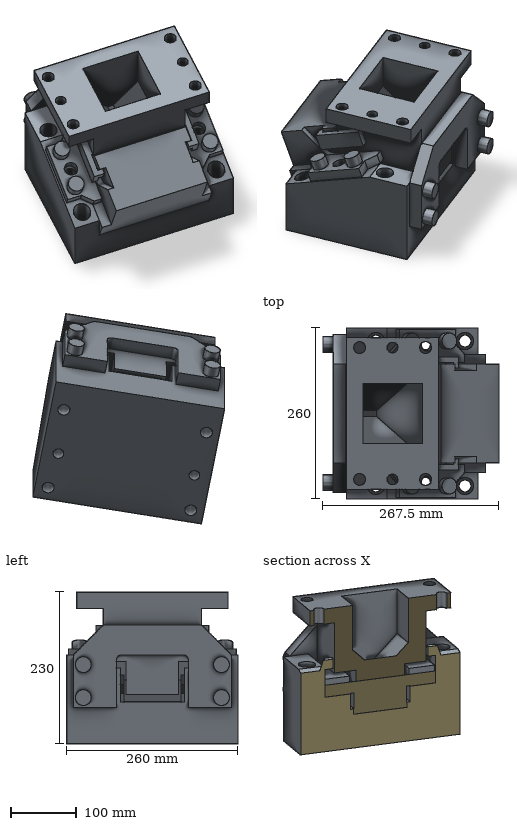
import cadquery as cq
import math


overall_length = 267.5
overall_height = 230.0

base_length = 200.0
base_width = 260.0
deck_height = 135.0
guide_start_x = 61.5
guide_angle = 20.0
well_floor_z = 115.3
tunnel_half_width = 48.5
tunnel_floor_z = 63.5
tunnel_end = 60.0
side_hole_y = 110.0
mount_hole_xs = (45.0, 180.0)
mount_hole_dia = 18.0
counterbore_dia = 26.0
counterbore_seat_z = 40.0
dowel_hole_x = 120.0
dowel_hole_y = 105.0
dowel_hole_dia = 16.0
gib_hole_dia = 20.0

head_dia = 24.0
head_height = 15.8

plate_thickness = 20.0
plate_width = 240.0
plate_bottom_z = 55.0
plate_top_z = 180.0
plate_relief = 1.0
window_width = 109.2
window_radius = 8.0
plate_screw_y = 105.0
plate_screw_zs = (70.0, 120.0)

gib_inner_y = 77.0
gib_length = 120.0
gib_thickness = 15.0
gib_end_step = 15.0
gib_outer_y = 127.3
gib_screw_positions = (30.0, 90.0)

wedge_foot = 30.8
wedge_to_guide_angle = 60.0

body_half_width = 75.0
slide_height = 60.0
flange_half_width = 90.0
flange_depth = 41.0
flange_back_x = 66.0
keel_half_width = 43.0
keel_depth = 72.2
keel_back = 9.0
slot_wall = 20.0
slot_width = 30.0
slot_depth = 9.5
slot_end_height = 26.0

driver_length = 140.0
top_plate_width = 230.0
top_plate_thickness = 25.0
nose_half_width = 39.9
nose_bottom_z = 74.6
top_hole_y = 100.0
top_holes = ((20.0, 18.0), (70.0, 16.0), (120.0, 18.0))
pocket_start_x = 25.0
pocket_size = 90.5
pocket_wall = 25.0
pocket_floor_z = 119.5
pocket_floor_half_width = 4.5
pocket_side_angle = 43.7

hook_start = 20.5
hook_length = 75.0
hook_bottom = 30.0
hook_top = 55.0
hook_inner_y = 77.0
hook_outer_y = 86.0
hook_pad_length = 40.0
tab_inner_y = 69.3
tab_top_length = 8.0
tab_height = 13.0

guide_cos = math.cos(math.radians(guide_angle))
guide_sin = math.sin(math.radians(guide_angle))
wedge_tan = math.tan(math.radians(wedge_to_guide_angle))
wedge_sin = math.sin(math.radians(wedge_to_guide_angle))
wedge_slope = math.tan(math.radians(wedge_to_guide_angle - guide_angle))

slide_end_x = overall_length - plate_thickness - head_height
slide_end = (slide_end_x - guide_start_x - slide_height * guide_sin) / guide_cos


def on_guide(along, above):
    """XZ point a distance down the guide plane and a height square to it."""
    return (
        guide_start_x + along * guide_cos + above * guide_sin,
        deck_height - along * guide_sin + above * guide_cos,
    )


def guide_z(x):
    """Z of the guide plane at position x."""
    return deck_height - (x - guide_start_x) * guide_sin / guide_cos


def wedge_point(above, shift=0.0):
    """XZ point on the wedge line, or on a parallel line shifted down the guide."""
    return on_guide(wedge_foot + shift + above / wedge_tan, above)


def wedge_x(z):
    """X of the wedge line at height z."""
    foot_x, foot_z = wedge_point(0.0)
    return foot_x + (z - foot_z) / wedge_slope


def wedge_z(x):
    """Z of the wedge line at position x."""
    foot_x, foot_z = wedge_point(0.0)
    return foot_z + (x - foot_x) * wedge_slope


def slab(outline, inner_y, outer_y):
    """XZ outline extruded from inner_y to outer_y."""
    return (
        cq.Workplane("XZ", origin=(0, inner_y, 0))
        .polyline(outline)
        .close()
        .extrude(inner_y - outer_y)
    )


def centred_slab(outline, half_width):
    return slab(outline, -half_width, half_width)


def both_sides(shape):
    return shape.union(shape.mirror("XZ"))


def block(x_range, half_width, z_range):
    (x0, x1), (z0, z1) = x_range, z_range
    return centred_slab([(x0, z0), (x1, z0), (x1, z1), (x0, z1)], half_width)


def guide_block(along_range, above_range, inner_y, outer_y):
    """Block aligned with the guide plane."""
    (a0, a1), (h0, h1) = along_range, above_range
    outline = [on_guide(a0, h0), on_guide(a1, h0), on_guide(a1, h1), on_guide(a0, h1)]
    return slab(outline, inner_y, outer_y)


def guide_plane(along, y, above):
    """Workplane parallel to the guide plane, with its local X pointing down the guide."""
    x, z = on_guide(along, above)
    return cq.Workplane(
        cq.Plane(origin=(x, y, z), xDir=(guide_cos, 0, -guide_sin), normal=(guide_sin, 0, guide_cos))
    )



flange_back_along = (flange_back_x - guide_start_x + flange_depth * guide_sin) / guide_cos
flange_back_bottom = on_guide(flange_back_along, -flange_depth)
flange_back_top = (flange_back_x, wedge_z(flange_back_x))


def flange_outline():
    return [
        flange_back_top,
        wedge_point(0.0),
        on_guide(slide_end, 0.0),
        on_guide(slide_end, -flange_depth),
        flange_back_bottom,
    ]


def keel_outline():
    keel_back_top = (keel_back - wedge_foot) * wedge_tan
    return [
        on_guide(keel_back, -keel_depth),
        on_guide(keel_back, keel_back_top),
        wedge_point(0.0),
        on_guide(slide_end, 0.0),
        on_guide(slide_end, -keel_depth),
    ]



def slot_cutter():
    """Slot parallel to the wedge face, with a round lower end."""
    centre_shift = (slot_wall + slot_width / 2) / wedge_sin
    half_shift = slot_width / 2 / wedge_sin
    end_x, end_z = wedge_point(slot_end_height, centre_shift)
    radius = slot_width / 2
    contact_angle = math.radians(90 + wedge_to_guide_angle - guide_angle)
    offset_x = radius * math.cos(contact_angle)
    offset_z = radius * math.sin(contact_angle)
    channel = [
        (end_x + offset_x, end_z + offset_z),
        wedge_point(slide_height, centre_shift - half_shift),
        wedge_point(slide_height, centre_shift + half_shift),
        (end_x - offset_x, end_z - offset_z),
    ]
    floor_y = body_half_width - slot_depth
    round_end = (
        cq.Workplane("XZ", origin=(end_x, floor_y, end_z))
        .circle(radius)
        .extrude(-slot_depth)
    )
    return slab(channel, floor_y, body_half_width).union(round_end)


def make_slide():
    body = [
        wedge_point(0.0),
        wedge_point(slide_height),
        on_guide(slide_end, slide_height),
        on_guide(slide_end, 0.0),
    ]
    slide = centred_slab(body, body_half_width)
    slide = slide.union(centred_slab(flange_outline(), flange_half_width))
    slide = slide.union(centred_slab(keel_outline(), keel_half_width))
    return slide.cut(both_sides(slot_cutter()))



def pocket_cutter():
    """Square pocket whose floor slopes up from a narrow flat, parallel to the wedge face on +X."""
    wedge_angle = math.radians(wedge_to_guide_angle - guide_angle)
    end_x = pocket_start_x + pocket_size
    rise = pocket_wall / math.cos(wedge_angle)
    lengthwise = [
        (pocket_start_x, overall_height),
        (pocket_start_x, pocket_floor_z),
        (wedge_x(pocket_floor_z - rise), pocket_floor_z),
        (end_x, wedge_z(end_x) + rise),
        (end_x, overall_height),
    ]
    half = pocket_size / 2
    side_z = pocket_floor_z + (half - pocket_floor_half_width) * math.tan(math.radians(pocket_side_angle))
    crosswise = [
        (-half, overall_height),
        (-half, side_z),
        (-pocket_floor_half_width, pocket_floor_z),
        (pocket_floor_half_width, pocket_floor_z),
        (half, side_z),
        (half, overall_height),
    ]
    cross_prism = cq.Workplane("YZ").polyline(crosswise).close().extrude(driver_length)
    return centred_slab(lengthwise, half).intersect(cross_prism)


def hook():
    """Side plate joined to the stem by a pad, with a tab that reaches into the slide's slot."""
    hook_end = hook_start + hook_length
    heights = (hook_bottom, hook_top)
    plate = guide_block((hook_start, hook_end), heights, hook_inner_y, hook_outer_y)
    pad = guide_block(
        (hook_start, hook_start + hook_pad_length), heights, body_half_width, hook_inner_y
    )
    tab_top_start = hook_end - tab_top_length
    tab = [
        on_guide(tab_top_start, hook_top),
        on_guide(hook_end, hook_top),
        on_guide(hook_end, hook_top - tab_height),
        on_guide(tab_top_start - tab_height / wedge_tan, hook_top - tab_height),
    ]
    return plate.union(pad).union(slab(tab, tab_inner_y, hook_inner_y))


def make_driver():
    shoulder_x, shoulder_z = wedge_point(0.0)
    plate_bottom = overall_height - top_plate_thickness
    stem = [
        (0, shoulder_z),
        (shoulder_x, shoulder_z),
        (driver_length, wedge_z(driver_length)),
        (driver_length, plate_bottom),
        (0, plate_bottom),
    ]
    nose = [
        (0, nose_bottom_z),
        (wedge_x(nose_bottom_z), nose_bottom_z),
        (shoulder_x, shoulder_z),
        (0, shoulder_z),
    ]
    driver = block((0, driver_length), top_plate_width / 2, (plate_bottom, overall_height))
    for x, diameter in top_holes:
        holes = (
            cq.Workplane("XY", origin=(x, 0, plate_bottom))
            .pushPoints([(0, -top_hole_y), (0, top_hole_y)])
            .circle(diameter / 2)
            .extrude(top_plate_thickness)
        )
        driver = driver.cut(holes)
    driver = driver.union(centred_slab(stem, body_half_width))
    driver = driver.union(centred_slab(nose, nose_half_width))
    driver = driver.cut(pocket_cutter())
    return driver.union(both_sides(hook()))



def base_block():
    outline = [
        (0, 0),
        (base_length, 0),
        (base_length, guide_z(base_length)),
        (guide_start_x, deck_height),
        (0, deck_height),
    ]
    return centred_slab(outline, base_width / 2)


def slideway_cutter():
    """Room for the driver's stem and nose, and the guide channels that the slide fills."""
    well_end_x, _ = wedge_point(0.0)
    well = block((0, well_end_x), flange_half_width, (well_floor_z, deck_height))

    tunnel_end_height = (on_guide(tunnel_end, 0.0)[1] - tunnel_floor_z) / guide_cos
    tunnel = centred_slab(
        [
            (0, tunnel_floor_z),
            on_guide(tunnel_end, -tunnel_end_height),
            on_guide(tunnel_end, 0.0),
            (guide_start_x, deck_height),
            (0, deck_height),
        ],
        tunnel_half_width,
    )
    flange_channel = centred_slab(
        [
            flange_back_bottom,
            (flange_back_x, guide_z(flange_back_x)),
            on_guide(slide_end, 0.0),
            on_guide(slide_end, -flange_depth),
        ],
        flange_half_width,
    )
    return well.union(tunnel).union(flange_channel).union(centred_slab(keel_outline(), keel_half_width))


def front_plate():
    """Bevelled plate with a window open at the bottom, relieved behind for the driver."""
    bevel = plate_width / 2 - body_half_width
    half = plate_width / 2
    outline = [
        (-half, plate_bottom_z),
        (half, plate_bottom_z),
        (half, plate_top_z - bevel),
        (half - bevel, plate_top_z),
        (bevel - half, plate_top_z),
        (-half, plate_top_z - bevel),
    ]
    plate = cq.Workplane("YZ").polyline(outline).close().extrude(-plate_thickness)
    window = block(
        (-plate_thickness, 0), window_width / 2, (plate_bottom_z, deck_height)
    ).edges("|X and >Z").fillet(window_radius)
    relief = block((-plate_relief, 0), body_half_width, (well_floor_z, plate_top_z))
    screw_heads = (
        cq.Workplane("YZ", origin=(-plate_thickness, 0, 0))
        .pushPoints([(y, z) for y in (-plate_screw_y, plate_screw_y) for z in plate_screw_zs])
        .circle(head_dia / 2)
        .extrude(-head_height)
    )
    return plate.cut(window).cut(relief).union(screw_heads)


def gib():
    """Clamp plate lying on the guide plane, with two screw heads and a hole between them."""
    chamfer_y = flange_half_width + gib_end_step
    outline = [
        (0, gib_inner_y),
        (gib_length, gib_inner_y),
        (gib_length, flange_half_width),
        (gib_length - gib_end_step, chamfer_y),
        (gib_length - gib_end_step, gib_outer_y),
        (gib_end_step, gib_outer_y),
        (gib_end_step, chamfer_y),
        (0, flange_half_width),
    ]
    plate = guide_plane(0, 0, 0).polyline(outline).close().extrude(gib_thickness)
    screw_heads = (
        guide_plane(0, side_hole_y, gib_thickness)
        .pushPoints([(along, 0) for along in gib_screw_positions])
        .circle(head_dia / 2)
        .extrude(head_height)
    )
    hole = guide_plane(gib_length / 2, dowel_hole_y, 0).circle(gib_hole_dia / 2).extrude(gib_thickness)
    return plate.union(screw_heads).cut(hole)


def vertical_holes(xs, side_y, diameter, bottom_z):
    return (
        cq.Workplane("XY", origin=(0, 0, bottom_z))
        .pushPoints([(x, y) for x in xs for y in (-side_y, side_y)])
        .circle(diameter / 2)
        .extrude(deck_height - bottom_z)
    )


def make_base():
    base = base_block().cut(slideway_cutter())
    base = base.cut(vertical_holes(mount_hole_xs, side_hole_y, mount_hole_dia, 0))
    base = base.cut(vertical_holes(mount_hole_xs, side_hole_y, counterbore_dia, counterbore_seat_z))
    base = base.cut(vertical_holes((dowel_hole_x,), dowel_hole_y, dowel_hole_dia, 0))
    return base.union(front_plate()).union(both_sides(gib()))


base = make_base()
slide = make_slide()
driver = make_driver()

result = cq.Compound.makeCompound([base.solids().val(), slide.solids().val(), driver.solids().val()])